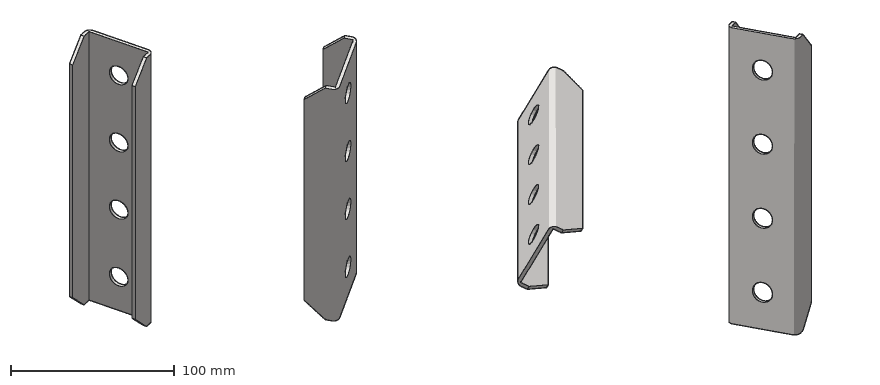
import cadquery as cq

length = 200.0
width = 47.0
depth = 21.5

thickness = 2.5
outer_corner_radius = 4.0

corner_cut = 13.5

hole_diameter = 13.2
hole_count = 4
hole_pitch = length / hole_count


def box_behind_open_side(box_width, back_y):
    """Full-length box from the open side (Y = 0) to back_y."""
    return cq.Workplane("XY").box(box_width, back_y, length, centered=(True, False, True))


def make_channel():
    """U-shaped channel along Z with its web at the back (+Y)."""
    outside = box_behind_open_side(width, depth).edges("|Z and >Y").fillet(outer_corner_radius)
    inside = box_behind_open_side(width - 2 * thickness, depth - thickness)
    return outside.cut(inside)


def cut_flange_corners(channel):
    """Cut both ends of the flanges at 45 degrees, at the open side."""
    for end in (-1, 1):
        end_z = end * length / 2
        corner = (
            cq.Workplane("YZ")
            .polyline([(0, end_z), (corner_cut, end_z), (0, end_z - end * corner_cut)])
            .close()
            .extrude(width / 2, both=True)
        )
        channel = channel.cut(corner)
    return channel


def drill_web(channel):
    """Drill the centred row of holes through the web."""
    holes = (
        cq.Workplane("XZ")
        .rarray(2, hole_pitch, 1, hole_count)
        .circle(hole_diameter / 2)
        .extrude(-depth)
    )
    return channel.cut(holes)


result = drill_web(cut_flange_corners(make_channel()))